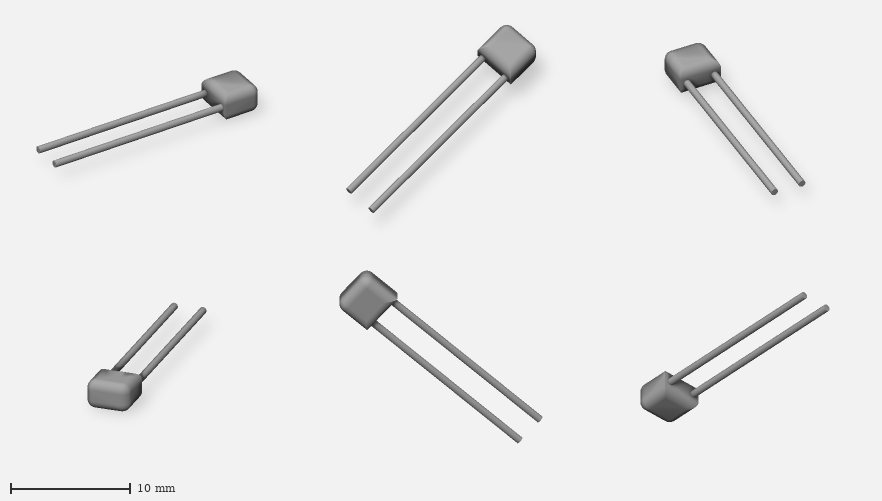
import cadquery as cq

overall_length = 20.0
housing_width = 3.82
housing_length = 3.52
housing_height = 2.55
edge_radius = 0.75
lead_diameter = 0.62
lead_spacing = 2.55

lead_length = overall_length - housing_length


def make_housing():
    """Rounded block behind the plane Y = 0; its two front vertical edges stay sharp."""
    block = cq.Workplane("XY").box(
        housing_width, housing_length, housing_height, centered=(True, False, True)
    )
    rounded_back = block.faces(">Y").edges("|Z").fillet(edge_radius)
    return rounded_back.faces("<Z or >Z").edges().fillet(edge_radius)


def make_lead(x):
    """Straight round wire that runs forward (-Y) from the front face of the housing."""
    return cq.Workplane("XZ").center(x, 0).circle(lead_diameter / 2).extrude(lead_length)


housing = make_housing()
leads = [make_lead(side * lead_spacing / 2) for side in (-1, 1)]

result = cq.Compound.makeCompound([housing.val(), *[lead.val() for lead in leads]])